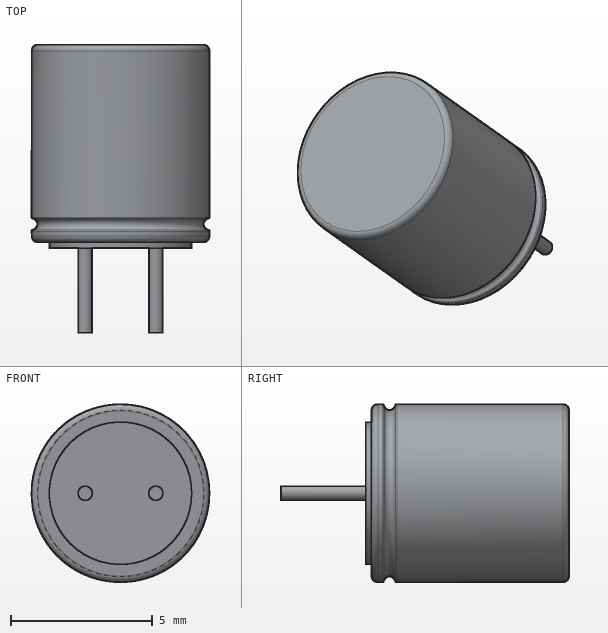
import cadquery as cq

total_length = 10.2
can_diameter = 6.3
can_length = 7.0
can_edge_radius = 0.22

groove_radius = 0.2
groove_lip_radius = 0.05
groove_setback = 0.64
lip_margin = 0.05

plug_diameter = 5.04
plug_height = 0.2
lead_diameter = 0.5
lead_spacing = 2.5
lead_length = total_length - can_length - plug_height

can_radius = can_diameter / 2
can_front = 0.0
plug_front = can_front - plug_height


def cylinder(diameter, front, length, x=0.0):
    """Cylinder parallel to Y, running from front toward +Y."""
    return cq.Workplane("XZ", origin=(x, front, 0)).circle(diameter / 2).extrude(-length)


def make_can():
    can = cylinder(can_diameter, can_front, can_length).edges().fillet(can_edge_radius)
    groove_y = can_front + groove_setback
    groove = cq.Solid.makeTorus(can_radius, groove_radius, cq.Vector(0, groove_y, 0), cq.Vector(0, 1, 0))
    can = can.cut(cq.Workplane(groove))
    lip_reach = groove_radius + lip_margin
    lips = cq.selectors.BoxSelector(
        (-can_radius, groove_y - lip_reach, -can_radius),
        (can_radius, groove_y + lip_reach, can_radius),
    )
    return can.edges(lips).edges("%CIRCLE").fillet(groove_lip_radius)


result = make_can().union(cylinder(plug_diameter, plug_front, plug_height))
for side in (-1, 1):
    lead = cylinder(lead_diameter, plug_front - lead_length, lead_length, side * lead_spacing / 2)
    result = result.union(lead)